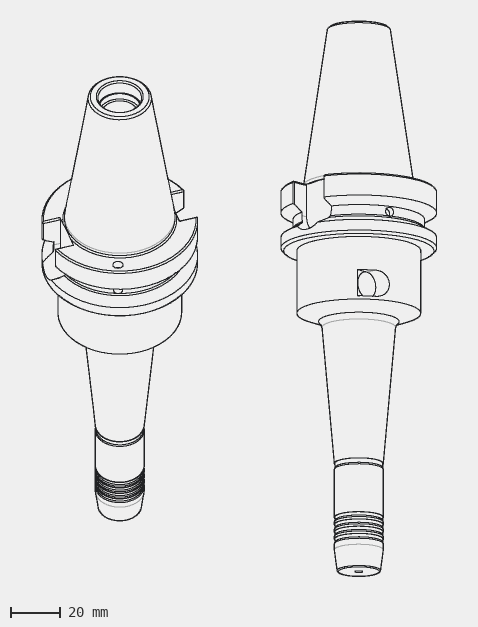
import cadquery as cq
import math

length = 225.5

taper_rate = 7 / 24
gauge_height = 160.0
gauge_radius = 22.3
shank_tip_radius = gauge_radius - (length - gauge_height) * taper_rate / 2
shank_tip_chamfer = 1.0
collar_flare = 0.7

flange_radius = 62.9 / 2
flange_top = 158.0
flange_bottom = 133.0
flange_top_chamfer = 0.7
flange_bottom_chamfer = 1.1
gripper_radius = 26.5
gripper_top = 145.8
gripper_bottom = 141.3
gripper_corner_width = 0.5
gripper_flank_angle = 30
gripper_flank_slope = math.tan(math.radians(gripper_flank_angle))
gripper_flank_height = (flange_radius - gripper_radius) * gripper_flank_slope
gripper_corner_slope = math.tan(math.radians((90 + gripper_flank_angle) / 2))
gripper_corner_bottom = gripper_bottom - gripper_corner_width * gripper_flank_slope
gripper_corner_top = gripper_corner_bottom + gripper_corner_width * gripper_corner_slope

body_radius = 25.0
body_bottom = 107.0
body_cone_bottom = 103.7
body_cone_radius = 16.2
neck_top = 101.2
neck_top_radius = 14.9
neck_fillet_mid_radius = 15.3
neck_fillet_mid_height = 102.3
neck_bottom = 44.9

nose_radius = 10.0
nose_cone_top = 9.0
nose_tip_radius = 8.8
nose_tip_chamfer = 0.5
ring_depth = 0.2
ring_bevel = 0.7
neck_ring_width = 2.5
nose_ring_width = 2.0
nose_ring_top = 22.5
nose_ring_span = 9.0
nose_ring_count = 4
nose_ring_pitch = nose_ring_span / (nose_ring_count - 1)

slot_width = 16.0
slot_floor = 22.5
slot_bottom = 136.4
slot_edge_chamfer = 0.7

flange_hole_radius = 2.0
flange_hole_centre_radius = 27.0
flange_hole_angle = 160
flange_hole_depth = 3.4
flange_pilot_radius = 1.1
flange_pilot_depth = 5.6
groove_hole_radius = 1.8
groove_hole_depth = 3.4
groove_hole_height = (gripper_top + gripper_bottom) / 2

recess_height = 113.8
recess_offset = 13.3
recess_radius = 5.5
recess_open_edge = 19.0
recess_floor = math.sqrt(body_radius**2 - recess_open_edge**2)

drill_point_angle = 118
bore_radius = 8.8
bore_step_depth = 6.0
bore_step_radius = 8.3
bore_depth = 9.0
bore_chamfer = 0.7
point_radius = 7.2
coolant_radius = 1.5


def drill_point_height(radius):
    return radius / math.tan(math.radians(drill_point_angle / 2))


def make_body():
    """Revolve the outer outline around the Z axis."""
    tip_edge = shank_tip_radius - shank_tip_chamfer
    outline = (
        cq.Workplane("XZ")
        .moveTo(0, 0)
        .lineTo(nose_tip_radius - nose_tip_chamfer, 0)
        .lineTo(nose_tip_radius, nose_tip_chamfer)
        .lineTo(nose_radius, nose_cone_top)
        .lineTo(nose_radius, neck_bottom)
        .lineTo(neck_top_radius, neck_top)
        .threePointArc(
            (neck_fillet_mid_radius, neck_fillet_mid_height),
            (body_cone_radius, body_cone_bottom),
        )
        .lineTo(body_radius, body_bottom)
        .lineTo(body_radius, flange_bottom)
        .lineTo(flange_radius - flange_bottom_chamfer, flange_bottom)
        .lineTo(flange_radius, flange_bottom + flange_bottom_chamfer)
        .lineTo(flange_radius, gripper_bottom - gripper_flank_height)
        .lineTo(gripper_radius + gripper_corner_width, gripper_corner_bottom)
        .lineTo(gripper_radius, gripper_corner_top)
        .lineTo(gripper_radius, gripper_top)
        .lineTo(flange_radius, gripper_top + gripper_flank_height)
        .lineTo(flange_radius, flange_top - flange_top_chamfer)
        .lineTo(flange_radius - flange_top_chamfer, flange_top)
        .lineTo(gauge_radius + collar_flare, flange_top)
        .lineTo(gauge_radius, flange_top + collar_flare)
        .lineTo(gauge_radius, gauge_height)
        .lineTo(shank_tip_radius, length - shank_tip_chamfer)
        .lineTo(tip_edge, length)
        .lineTo(0, length)
        .close()
    )
    return outline.revolve(360, (0, 0), (0, 1))


def make_ring_groove(top, width):
    """Shallow ring around the nose: a square upper wall and a bevelled lower wall."""
    floor_radius = nose_radius - ring_depth
    bottom = top - width
    outline = (
        cq.Workplane("XZ")
        .moveTo(nose_radius, bottom)
        .lineTo(floor_radius, bottom + ring_bevel)
        .lineTo(floor_radius, top)
        .lineTo(nose_radius, top)
        .close()
    )
    return outline.revolve(360, (0, 0), (0, 1))


def make_drive_slot(side):
    """Round-ended slot cutter for the -Y (side = -1) or +Y (side = 1) face of the flange."""
    end_centre = slot_bottom + slot_width / 2
    slot_top = flange_top + collar_flare
    outline = (
        cq.Workplane("XZ", origin=(0, side * slot_floor, 0))
        .moveTo(-slot_width / 2, slot_top)
        .lineTo(-slot_width / 2, end_centre)
        .threePointArc((0, slot_bottom), (slot_width / 2, end_centre))
        .lineTo(slot_width / 2, slot_top)
        .close()
    )
    return outline.extrude(-side * flange_radius)


def make_slot_edge_bevel(side):
    """Cutter that bevels the slot edges along the flange top and the upper flange rim."""
    half_width = slot_width / 2
    rim_depth = math.sqrt(flange_radius**2 - half_width**2)
    top_bevel = (
        cq.Workplane("XZ", origin=(0, side * slot_floor, 0))
        .moveTo(-half_width, flange_top - slot_edge_chamfer)
        .lineTo(half_width, flange_top - slot_edge_chamfer)
        .lineTo(half_width + slot_edge_chamfer, flange_top)
        .lineTo(-half_width - slot_edge_chamfer, flange_top)
        .close()
        .extrude(-side * flange_radius)
    )
    rim_bevel = (
        cq.Workplane("XY", origin=(0, 0, gripper_top))
        .moveTo(-half_width, side * (rim_depth - slot_edge_chamfer))
        .lineTo(half_width, side * (rim_depth - slot_edge_chamfer))
        .lineTo(half_width + 2 * slot_edge_chamfer, side * (rim_depth + slot_edge_chamfer))
        .lineTo(-half_width - 2 * slot_edge_chamfer, side * (rim_depth + slot_edge_chamfer))
        .close()
        .extrude(flange_top - gripper_top)
    )
    return top_bevel.union(rim_bevel)


def make_flange_hole(angle):
    """Stepped blind hole in the flange top, above a radial blind hole in the gripper groove wall."""
    top_face = cq.Workplane("XY", origin=(flange_hole_centre_radius, 0, flange_top))
    hole = top_face.circle(flange_hole_radius).extrude(-flange_hole_depth)
    pilot = top_face.circle(flange_pilot_radius).extrude(-flange_pilot_depth)
    groove_hole = (
        cq.Workplane("YZ", origin=(gripper_radius - groove_hole_depth, 0, groove_hole_height))
        .circle(groove_hole_radius)
        .extrude(2 * groove_hole_depth)
    )
    holes = hole.union(pilot).union(groove_hole)
    return holes.rotate((0, 0, 0), (0, 0, 1), angle)


def make_side_recess():
    """Flat recess running out to +Y, with a conical drill point in its floor."""
    reach = body_radius - recess_floor
    plane = cq.Workplane("YZ", origin=(-recess_floor, recess_offset, recess_height))
    round_end = plane.circle(recess_radius).extrude(-reach)
    open_side = plane.rect(body_radius, 2 * recess_radius).extrude(-reach)
    open_side = open_side.translate((0, body_radius / 2, 0))
    point = cq.Workplane(
        cq.Solid.makeCone(
            recess_radius,
            0,
            drill_point_height(recess_radius),
            cq.Vector(-recess_floor, recess_offset, recess_height),
            cq.Vector(1, 0, 0),
        )
    )
    return round_end.union(open_side).union(point)


def make_bore():
    """Chamfered two-step bore with a drill point, and a coolant hole through the whole part."""
    floor = length - bore_depth
    step = length - bore_step_depth
    outline = (
        cq.Workplane("XZ")
        .moveTo(0, 0)
        .lineTo(coolant_radius, 0)
        .lineTo(coolant_radius, floor - drill_point_height(point_radius - coolant_radius))
        .lineTo(point_radius, floor)
        .lineTo(bore_step_radius, floor)
        .lineTo(bore_step_radius, step)
        .lineTo(bore_radius, step)
        .lineTo(bore_radius, length - bore_chamfer)
        .lineTo(bore_radius + bore_chamfer, length)
        .lineTo(0, length)
        .close()
    )
    return outline.revolve(360, (0, 0), (0, 1))


result = make_body()
result = result.cut(make_ring_groove(neck_bottom, neck_ring_width))
for index in range(nose_ring_count):
    result = result.cut(make_ring_groove(nose_ring_top - index * nose_ring_pitch, nose_ring_width))
for side in (-1, 1):
    result = result.cut(make_drive_slot(side))
    result = result.cut(make_slot_edge_bevel(side))
for angle in (flange_hole_angle, flange_hole_angle + 180):
    result = result.cut(make_flange_hole(angle))
result = result.cut(make_side_recess())
result = result.cut(make_bore())